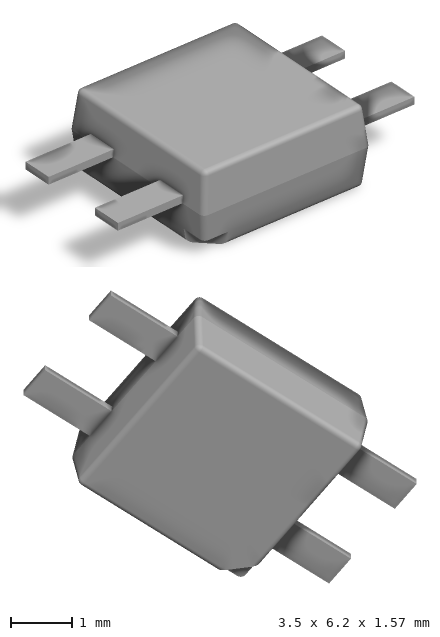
import cadquery as cq

overall_length = 6.2
body_side = 3.5
body_height = 1.57

draft_angle = 6.0
edge_radius = 0.1

lead_width = 0.6
lead_thickness = 0.15
lead_pitch = 1.81

corner_flat_leg = 0.64
corner_flat_height = 0.255

half_height = body_height / 2
half_side = body_side / 2


def body_half(direction):
    """Drafted half above (1) or below (-1) the parting plane, rounded except at that plane."""
    half = (
        cq.Workplane("XY")
        .rect(body_side, body_side)
        .extrude(direction * half_height, taper=draft_angle)
    )
    parting_face = "<Z" if direction > 0 else ">Z"
    return half.edges(f"not({parting_face})").fillet(edge_radius)


def leads():
    """Bars above the parting plane that run through the body and stick out at both ends."""
    return (
        cq.Workplane("XY")
        .pushPoints([(-lead_pitch / 2, 0), (lead_pitch / 2, 0)])
        .rect(lead_width, overall_length)
        .extrude(lead_thickness)
    )


def corner_flat_cutter():
    """Triangular prism that cuts the lower part of the +X, -Y corner at 45 degrees."""
    return (
        cq.Workplane("XY", origin=(0, 0, -half_height))
        .moveTo(half_side, -half_side)
        .lineTo(half_side, -half_side + corner_flat_leg)
        .lineTo(half_side - corner_flat_leg, -half_side)
        .close()
        .extrude(corner_flat_height)
    )


body = body_half(1).union(body_half(-1)).cut(corner_flat_cutter())
result = body.union(leads())